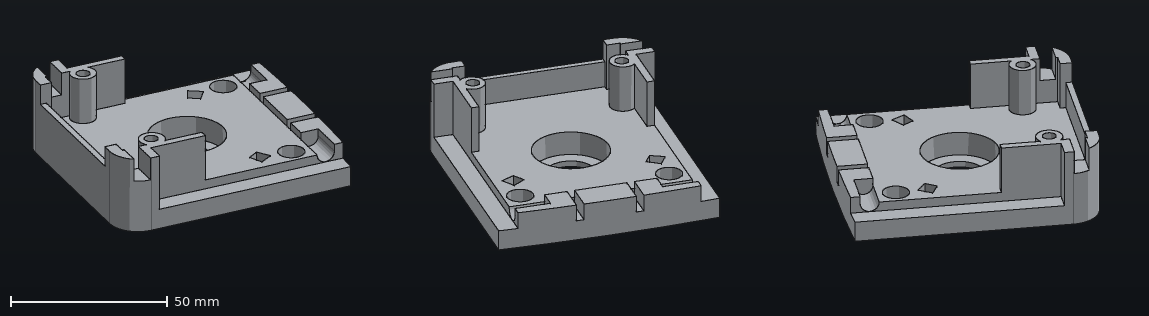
import cadquery as cq

width = 74.4
length = 82.1
height = 26.2
half_width = width / 2
corner_radius = 10.0
rear_side_y = 81.1

shelf_z = 7.0
floor_z = 10.2
bar_top_z = 12.65
shelf_inner_x = 30.8
shelf_front_y = 13.0
pocket_half_width = 28.25
side_wall_rear_y = 32.4

corner_wall_thickness = 4.0
front_wall_thickness = 2.1
notch_half_width = 23.7
notch_z = 19.2

slot_front_y = 4.7
slot_rear_y = 9.8
slot_z = 18.3

bar_front_y = 72.1
gap_inner_x = 8.8
gap_outer_x = 11.3
gap_floor_z = shelf_z
channel_inner_x = 18.9
channel_width = 6.2

bore_y = 40.7
bore_diameter = 16.35
bore_recess_diameter = 25.4
recess_floor_z = 2.05
rear_hole_x = 25.05
rear_hole_y = 65.7
rear_hole_diameter = 5.4
rear_recess_diameter = 8.7
post_x = 25.4
post_y = 15.9
post_diameter = 8.7
post_hole_x = 25.05
post_hole_y = 15.85
post_hole_diameter = 4.4

window_corners = [(24.7, 58.5), (20.5, 55.5), (22.9, 51.9), (27.4, 54.1)]


def box(x0, x1, y0, y1, z0, z1):
    """Axis-aligned block between opposite limits."""
    return cq.Workplane("XY").box(x1 - x0, y1 - y0, z1 - z0, centered=False).translate((x0, y0, z0))


def cylinder(x, y, diameter, z0, z1):
    """Vertical cylinder between two levels."""
    return cq.Workplane("XY", origin=(x, y, z0)).circle(diameter / 2).extrude(z1 - z0)


def both_sides(shape):
    """The shape together with its mirror image across X = 0."""
    return shape.union(shape.mirror("YZ"))


def outer_block():
    """Full-height block with rounded front corners and a bowed rear edge."""
    return (
        cq.Workplane("XY")
        .moveTo(-half_width, 0)
        .lineTo(half_width, 0)
        .lineTo(half_width, rear_side_y)
        .threePointArc((0, length), (-half_width, rear_side_y))
        .close()
        .extrude(height)
        .edges("|Z and <Y")
        .fillet(corner_radius)
    )


def hollow_interior(body):
    """Open the space above the floor, leaving the front and side walls and the rear bar."""
    body = body.cut(box(-pocket_half_width, pocket_half_width, corner_wall_thickness, bar_front_y, floor_z, height))
    body = body.cut(
        box(-notch_half_width, notch_half_width, front_wall_thickness, corner_wall_thickness, floor_z, height)
    )
    body = body.cut(box(-notch_half_width, notch_half_width, 0, front_wall_thickness, notch_z, height))
    body = body.cut(box(-half_width, half_width, side_wall_rear_y, bar_front_y, floor_z, height))
    return body.cut(box(-half_width, half_width, bar_front_y, length, bar_top_z, height))


def cut_sides(body):
    """Side shelves and the slots across the front corners."""
    shelf = box(shelf_inner_x, half_width, shelf_front_y, length, shelf_z, height)
    slot = box(pocket_half_width, half_width, slot_front_y, slot_rear_y, slot_z, height)
    return body.cut(both_sides(shelf)).cut(both_sides(slot))


def cut_rear_bar(body):
    """Two narrow gaps and a round-bottomed channel at each end of the bar."""
    gap = box(gap_inner_x, gap_outer_x, bar_front_y, length, gap_floor_z, bar_top_z)
    channel_rear_y = bar_front_y + channel_width
    channel_radius = channel_width / 2
    channel_length = shelf_inner_x - channel_inner_x
    trough = (
        cq.Workplane("YZ", origin=(channel_inner_x, bar_front_y + channel_radius, floor_z))
        .circle(channel_radius)
        .extrude(channel_length)
    )
    opening = box(channel_inner_x, shelf_inner_x, bar_front_y, channel_rear_y, floor_z, bar_top_z)
    return body.cut(both_sides(gap)).cut(both_sides(trough.union(opening)))


def cut_holes(body):
    """Central stepped bore, rear stepped holes, post holes and windows."""
    body = body.cut(cylinder(0, bore_y, bore_diameter, 0, floor_z))
    body = body.cut(cylinder(0, bore_y, bore_recess_diameter, recess_floor_z, floor_z))
    rear_hole = cylinder(rear_hole_x, rear_hole_y, rear_hole_diameter, 0, floor_z)
    rear_recess = cylinder(rear_hole_x, rear_hole_y, rear_recess_diameter, recess_floor_z, floor_z)
    post_hole = cylinder(post_hole_x, post_hole_y, post_hole_diameter, 0, height)
    window = cq.Workplane("XY").polyline(window_corners).close().extrude(floor_z)
    for cutter in (rear_hole, rear_recess, post_hole, window):
        body = body.cut(both_sides(cutter))
    return body


body = cut_sides(hollow_interior(outer_block()))
body = body.union(both_sides(cylinder(post_x, post_y, post_diameter, floor_z, height)))
body = cut_rear_bar(body)
result = cut_holes(body)